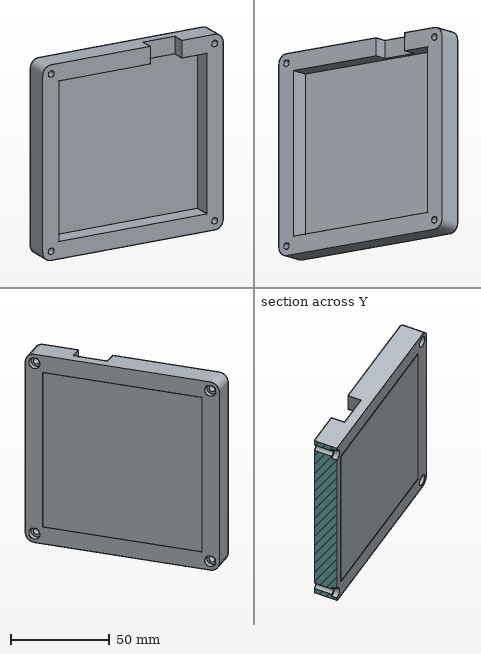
import cadquery as cq

BOARD_SIZE = 85.72
BOARD_CLEARANCE = 0.5
WALL_THICKNESS = 9.5
FLOOR_THICKNESS = 3.0
WALL_HEIGHT = 10.0
CORNER_RADIUS = 5.0

POCKET_SIZE = BOARD_SIZE + 2 * BOARD_CLEARANCE
OUTER_SIZE = POCKET_SIZE + 2 * WALL_THICKNESS
TOTAL_HEIGHT = FLOOR_THICKNESS + WALL_HEIGHT

RECESS_DEPTH = 0.2

HOLE_INSET = 5.0
HOLE_DIAMETER = 3.4
COUNTERBORE_DIAMETER = 6.0
COUNTERBORE_DEPTH = 3.0
HOLE_SPACING = OUTER_SIZE - 2 * HOLE_INSET

NOTCH_WIDTH = 18.6
NOTCH_CENTER_Y = 19.4
NOTCH_BOTTOM_X = 5.5


def make_body():
    """Square block with corners rounded along X."""
    block = cq.Workplane("YZ").rect(OUTER_SIZE, OUTER_SIZE).extrude(TOTAL_HEIGHT)
    return block.edges("|X").fillet(CORNER_RADIUS)


def make_square_space(start_x, depth):
    """Square prism with the pocket outline, from start_x towards +X."""
    start = cq.Workplane("YZ").workplane(offset=start_x)
    return start.rect(POCKET_SIZE, POCKET_SIZE).extrude(depth)


def make_pocket():
    """Board space above the floor."""
    return make_square_space(FLOOR_THICKNESS, WALL_HEIGHT)


def make_outer_recess():
    """Shallow recess in the outer face."""
    return make_square_space(0, RECESS_DEPTH)


def make_corner_cylinders(diameter, depth):
    """Four cylinders at the screw positions, rising from the outer face."""
    centers = cq.Workplane("YZ").rect(HOLE_SPACING, HOLE_SPACING, forConstruction=True).vertices()
    return centers.circle(diameter / 2).extrude(depth)


def make_notch():
    """Rectangular opening from the outer +Z side into the pocket, open at the rim."""
    depth_x = TOTAL_HEIGHT - NOTCH_BOTTOM_X
    center_z = OUTER_SIZE / 2 - WALL_THICKNESS / 2
    start = cq.Workplane("YZ").workplane(offset=NOTCH_BOTTOM_X)
    return start.center(NOTCH_CENTER_Y, center_z).rect(NOTCH_WIDTH, WALL_THICKNESS).extrude(depth_x)


result = (
    make_body()
    .cut(make_pocket())
    .cut(make_outer_recess())
    .cut(make_corner_cylinders(HOLE_DIAMETER, TOTAL_HEIGHT))
    .cut(make_corner_cylinders(COUNTERBORE_DIAMETER, COUNTERBORE_DEPTH))
    .cut(make_notch())
)